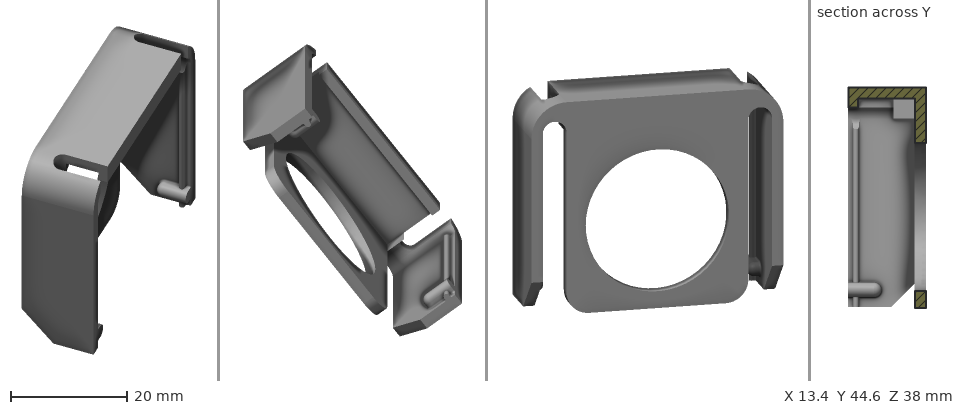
import cadquery as cq

depth = 13.4
width = 44.6
height = 38.0

wall = 2.0
plate_width = 32.2
plate_corner_radius = 4.0
bore_diameter = 25.4
bore_center_z = 15.7
lip_length = 1.7
lip_height = 3.6

arm_bottom_z = 0.2
arm_chamfer = 5.9
plate_half = plate_width / 2
arm_outer_y = width / 2
arm_inner_y = arm_outer_y - wall
outer_corner_radius = arm_outer_y - plate_half

gap_radius = (arm_inner_y - plate_half) / 2
gap_center_y = plate_half + gap_radius
gap_center_z = 32.55

relief_width = 3.1
relief_start_x = 4.05

bead_width = 1.0
bead_height = 1.1
bead_center_x = 12.05

pin_radius = 1.25
pin_tip_x = 7.65
pin_standoff = 1.0
pin_center_y = arm_inner_y - pin_standoff
pin_center_z = 3.1

root_fillet = 0.3


def box(x_range, y_range, z_range):
    """Box between the given limits along each axis."""
    (x0, x1), (y0, y1), (z0, z1) = x_range, y_range, z_range
    return cq.Workplane("XY").box(x1 - x0, y1 - y0, z1 - z0, centered=False).translate((x0, y0, z0))


def x_cylinder(radius, y, z, x_start, x_end):
    """Cylinder along X."""
    return cq.Workplane("YZ", origin=(x_start, y, z)).circle(radius).extrude(x_end - x_start)


def make_plate():
    """Front plate with rounded lower corners."""
    plate = box((0, wall), (-plate_half, plate_half), (0, height))
    return plate.edges("|X and <Z").fillet(plate_corner_radius)


def make_flange():
    """Top flange with a lip hanging from its free edge."""
    flange = box((0, depth), (-plate_half, plate_half), (height - wall, height))
    lip = box((depth - lip_length, depth), (-plate_half, plate_half), (height - lip_height, height))
    return flange.union(lip)


def make_arm_blank():
    """Arm and rounded corner on the +Y side, chamfered at the lower front."""
    blank = (
        cq.Workplane("YZ")
        .moveTo(plate_half, height)
        .radiusArc((arm_outer_y, height - outer_corner_radius), outer_corner_radius)
        .lineTo(arm_outer_y, arm_bottom_z)
        .lineTo(arm_inner_y, arm_bottom_z)
        .lineTo(arm_inner_y, gap_center_z)
        .threePointArc((gap_center_y, gap_center_z + gap_radius), (plate_half, gap_center_z))
        .close()
        .extrude(depth)
    )
    return blank.edges("|Y and <X and <Z").chamfer(arm_chamfer)


def make_bead():
    """Half-round vertical bead with hollow root fillets, trimmed by the round end of the gap."""
    half = bead_width / 2
    start_x = bead_center_x - half
    end_x = bead_center_x + half
    crest_y = arm_inner_y - bead_height
    shoulder_y = crest_y + half
    fillet_y = arm_inner_y - root_fillet
    bead = (
        cq.Workplane("XY", origin=(0, 0, arm_bottom_z))
        .moveTo(start_x - root_fillet, arm_inner_y)
        .radiusArc((start_x, fillet_y), root_fillet)
        .lineTo(start_x, shoulder_y)
        .threePointArc((bead_center_x, crest_y), (end_x, shoulder_y))
        .lineTo(end_x, fillet_y)
        .radiusArc((end_x + root_fillet, arm_inner_y), root_fillet)
        .close()
        .extrude(gap_center_z - arm_bottom_z)
    )
    return bead.cut(x_cylinder(gap_radius, gap_center_y, gap_center_z, 0, depth))


def make_pin():
    """Latch pin along X with a ball nose, its half-round profile carried straight into the arm."""
    ball_x = pin_tip_x + pin_radius
    base_y = arm_inner_y + wall / 2
    center = (ball_x, pin_center_y, pin_center_z)
    barrel = x_cylinder(pin_radius, pin_center_y, pin_center_z, ball_x, depth)
    ball = cq.Workplane("XY").sphere(pin_radius).translate(center)
    round_root = cq.Workplane("XZ", origin=center).circle(pin_radius).extrude(pin_center_y - base_y)
    straight_root = box(
        (ball_x, depth),
        (pin_center_y, base_y),
        (pin_center_z - pin_radius, pin_center_z + pin_radius),
    )
    return round_root.union(straight_root).union(barrel).union(ball)


def make_relief():
    """Vertical slot with a round end, open towards +X."""
    radius = relief_width / 2
    center_x = relief_start_x + radius
    center_y = plate_half + radius
    slot = box((center_x, depth), (plate_half, plate_half + relief_width), (gap_center_z, height))
    round_end = (
        cq.Workplane("XY", origin=(center_x, center_y, gap_center_z))
        .circle(radius)
        .extrude(height - gap_center_z)
    )
    return slot.union(round_end)


def make_arm():
    """Complete arm on the +Y side."""
    arm = make_arm_blank().cut(make_relief()).union(make_pin())
    pin_root = cq.selectors.BoxSelector(
        (pin_tip_x - root_fillet, arm_inner_y - root_fillet / 2, pin_center_z - pin_radius - root_fillet),
        (depth, arm_inner_y + root_fillet / 2, pin_center_z + pin_radius + root_fillet),
    )
    arm = arm.edges(pin_root).edges("not(|Y)").fillet(root_fillet)
    return arm.union(make_bead())


bore = x_cylinder(bore_diameter / 2, 0, bore_center_z, 0, wall)
arm = make_arm()
result = make_plate().union(make_flange()).cut(bore).union(arm).union(arm.mirror("XZ"))